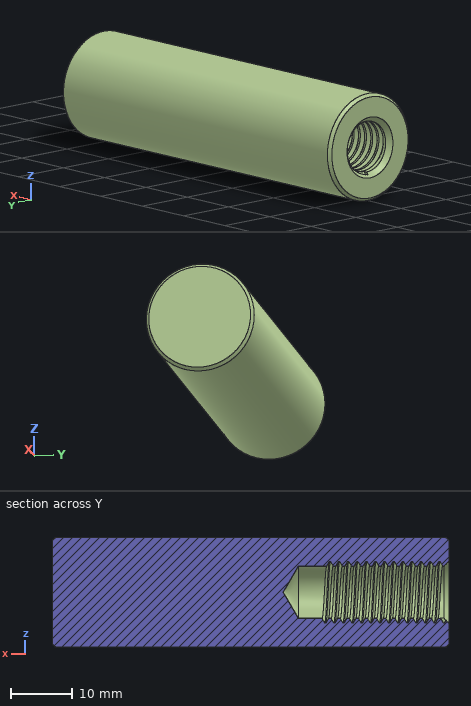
import cadquery as cq

rod_length = 65.0
rod_diameter = 18.0
rod_chamfer = 0.5

bore_diameter = 8.5
countersink_diameter = 10.2
countersink_depth = (countersink_diameter - bore_diameter) / 2
bore_depth = 24.7
drill_tip_depth = 2.5

thread_pitch = 1.5
thread_major_diameter = 10.0
thread_length = 19.5
thread_start = countersink_depth
groove_mouth = 0.75 * thread_pitch
groove_root = thread_pitch / 8
mouth_overlap = 0.05


def make_rod():
    """Plain rod with both ends chamfered and its -X face at the origin."""
    rod = cq.Workplane("YZ").circle(rod_diameter / 2).extrude(rod_length)
    return rod.faces("<X or >X").chamfer(rod_chamfer)


def make_bore():
    """Countersunk drill hole with a conical bottom, turned around X."""
    bore_radius = bore_diameter / 2
    profile = [
        (0, 0),
        (0, countersink_diameter / 2),
        (countersink_depth, bore_radius),
        (bore_depth, bore_radius),
        (bore_depth + drill_tip_depth, 0),
    ]
    return cq.Workplane("XY").polyline(profile).close().revolve(360, (0, 0, 0), (1, 0, 0))


def make_thread_groove():
    """Helical groove that starts at the foot of the countersink and ends inside the bore."""
    inner_radius = bore_diameter / 2 - mouth_overlap
    outer_radius = thread_major_diameter / 2
    helix = cq.Wire.makeHelix(thread_pitch, thread_length, inner_radius)
    groove = (
        cq.Workplane("XZ")
        .polyline([
            (inner_radius, -groove_mouth / 2),
            (outer_radius, -groove_root / 2),
            (outer_radius, groove_root / 2),
            (inner_radius, groove_mouth / 2),
        ])
        .close()
        .sweep(cq.Workplane(helix), isFrenet=True)
    )
    return groove.rotate((0, 0, 0), (0, 1, 0), 90).translate((thread_start, 0, 0))


result = make_rod().cut(make_bore()).cut(make_thread_groove())